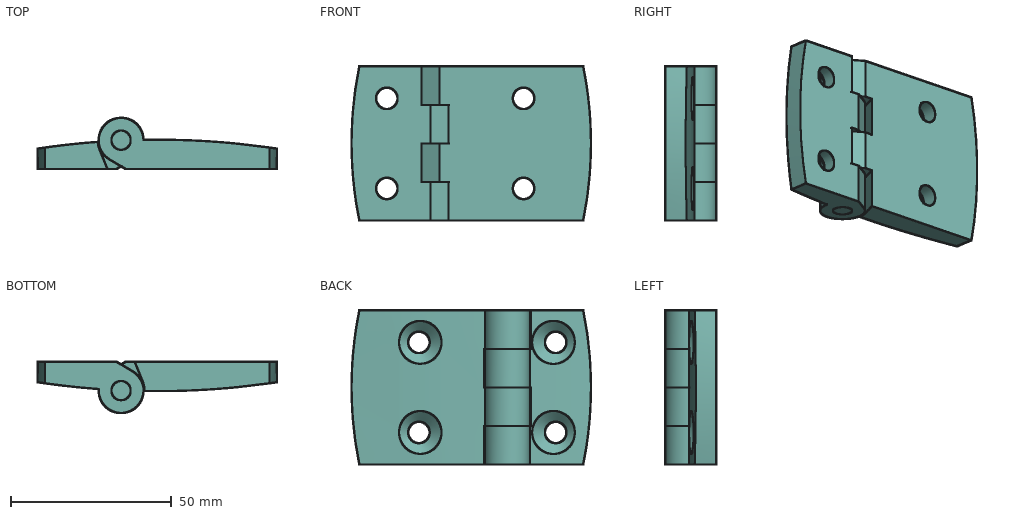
import cadquery as cq
import math

WIDE, NARROW = 1, -1

HEIGHT = 48.0
WIDE_REACH = 48.48
NARROW_REACH = 26.0
END_BOW_RADIUS = 120.0
DOME_RADIUS = 250.0
DOME_HEIGHT = 9.2
MID_X = (WIDE_REACH - NARROW_REACH) / 2
HALF_LENGTH = (WIDE_REACH + NARROW_REACH) / 2

AXIS_Y = 9.0
BARREL_RADIUS = 7.0
BARREL_TOE = 1.4
CLEARANCE_RADIUS = 7.3
CLEARANCE_TOE = 4.2
PIN_DIAMETER = 6.0
KNUCKLE_COUNT = 4
KNUCKLE_HEIGHT = HEIGHT / KNUCKLE_COUNT
BACK_Y = AXIS_Y + BARREL_RADIUS

HOLE_DIAMETER = 6.6
SINK_DIAMETER = 13.3
SINK_ANGLE = 90.0
SINK_OVERSHOOT = 1.0
HOLE_X = {WIDE: 27.5, NARROW: -15.0}
HOLE_SPACING = 28.0


def dome_y(x):
    """Height of the domed back above the front at a given X."""
    return DOME_HEIGHT - DOME_RADIUS + math.sqrt(DOME_RADIUS**2 - (x - MID_X) ** 2)


def upright(sketch, height):
    """Extrude an XY outline up along Z."""
    return sketch.close().extrude(height)


def cylinder(radius, height):
    return cq.Workplane("XY").center(0, AXIS_Y).circle(radius).extrude(height)


def make_plate():
    """Plate of both leaves: flat front, domed back and bowed ends."""
    left = MID_X - HALF_LENGTH
    right = MID_X + HALF_LENGTH
    domed = upright(
        cq.Workplane("XY")
        .moveTo(left, 0)
        .lineTo(right, 0)
        .lineTo(right, dome_y(right))
        .threePointArc((MID_X, DOME_HEIGHT), (left, dome_y(left))),
        HEIGHT,
    )
    bow = END_BOW_RADIUS - math.sqrt(END_BOW_RADIUS**2 - (HEIGHT / 2) ** 2)
    bowed = (
        cq.Workplane("XZ")
        .moveTo(left + bow, 0)
        .lineTo(right - bow, 0)
        .threePointArc((right, HEIGHT / 2), (right - bow, HEIGHT))
        .lineTo(left + bow, HEIGHT)
        .threePointArc((left, HEIGHT / 2), (left + bow, 0))
        .close()
        .extrude(-BACK_Y)
    )
    return domed.intersect(bowed)


def flank_point(toe, radius, turn):
    """Point where a line from the toe on the front touches a circle about the pin axis.

    turn is -1 for the touch point beyond the axis and 1 for the one on the toe's own side.
    """
    toe_angle = math.atan2(-AXIS_Y, toe)
    angle = toe_angle + turn * math.acos(radius / math.hypot(toe, AXIS_Y))
    return radius * math.cos(angle), AXIS_Y + radius * math.sin(angle)


def leaf_sector(side):
    """Space of one leaf: outward of the barrel's flat flank, over the full height."""
    touch_x, touch_y = flank_point(BARREL_TOE, BARREL_RADIUS, -1)
    far_x = side * 2 * HALF_LENGTH
    return upright(
        cq.Workplane("XY")
        .moveTo(side * BARREL_TOE, 0)
        .lineTo(side * touch_x, touch_y)
        .lineTo(0, AXIS_Y)
        .lineTo(0, BACK_Y)
        .lineTo(far_x, BACK_Y)
        .lineTo(far_x, 0),
        HEIGHT,
    )


def knuckle_recess(side):
    """Space cut from one leaf for a knuckle of the other: a round with a flat flank."""
    touch_x, touch_y = flank_point(CLEARANCE_TOE, CLEARANCE_RADIUS, 1)
    inner_x = -side * CLEARANCE_RADIUS
    flank = upright(
        cq.Workplane("XY")
        .moveTo(side * CLEARANCE_TOE, 0)
        .lineTo(side * touch_x, touch_y)
        .lineTo(0, AXIS_Y)
        .lineTo(inner_x, AXIS_Y)
        .lineTo(inner_x, 0),
        KNUCKLE_HEIGHT,
    )
    return cylinder(CLEARANCE_RADIUS, KNUCKLE_HEIGHT).union(flank)


def screw_hole(x, z):
    """Through hole from the front with a countersink opening on the domed back."""
    rim_y = dome_y(x)
    sink_slope = math.tan(math.radians(SINK_ANGLE / 2))
    mouth_y = rim_y + SINK_OVERSHOOT
    hole_radius = HOLE_DIAMETER / 2
    sink_start_y = rim_y - (SINK_DIAMETER / 2 - hole_radius) / sink_slope
    mouth_radius = SINK_DIAMETER / 2 + SINK_OVERSHOOT * sink_slope
    return (
        cq.Workplane("XY")
        .lineTo(hole_radius, 0)
        .lineTo(hole_radius, sink_start_y)
        .lineTo(mouth_radius, mouth_y)
        .lineTo(0, mouth_y)
        .close()
        .revolve(360, (0, 0), (0, 1))
        .translate((x, 0, z))
    )


def make_leaf(side):
    """One leaf; the narrow leaf has the lowest knuckle and they alternate upward."""
    leaf = make_plate().intersect(leaf_sector(side))
    first_knuckle = 0 if side == NARROW else 1
    for index in range(KNUCKLE_COUNT):
        base = (0, 0, index * KNUCKLE_HEIGHT)
        if index % 2 == first_knuckle:
            leaf = leaf.union(cylinder(BARREL_RADIUS, KNUCKLE_HEIGHT).translate(base))
        else:
            leaf = leaf.cut(knuckle_recess(side).translate(base))
    for offset in (-HOLE_SPACING / 2, HOLE_SPACING / 2):
        leaf = leaf.cut(screw_hole(HOLE_X[side], HEIGHT / 2 + offset))
    return leaf.cut(cylinder(PIN_DIAMETER / 2, HEIGHT))


wide_leaf = make_leaf(WIDE)
narrow_leaf = make_leaf(NARROW)
pin = cylinder(PIN_DIAMETER / 2, HEIGHT)

result = cq.Compound.makeCompound([wide_leaf.val(), narrow_leaf.val(), pin.val()])